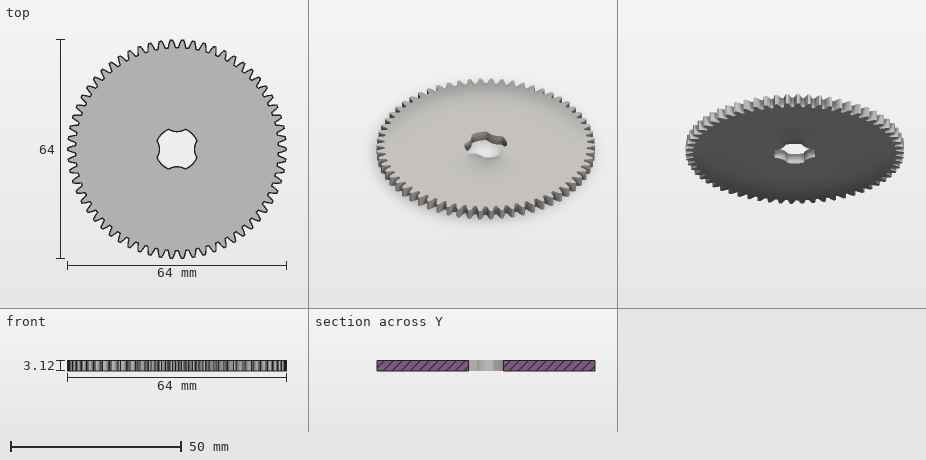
import cadquery as cq
import math

TOOTH_COUNT = 62
MODULE = 1.0
PRESSURE_ANGLE = math.radians(20)
THICKNESS = 3.12
BACKLASH = 0.05
DEDENDUM = 1.25 * MODULE

PITCH_RADIUS = MODULE * TOOTH_COUNT / 2
TIP_RADIUS = PITCH_RADIUS + MODULE
ROOT_RADIUS = PITCH_RADIUS - DEDENDUM
BASE_RADIUS = PITCH_RADIUS * math.cos(PRESSURE_ANGLE)
TOOTH_PITCH_ANGLE = 2 * math.pi / TOOTH_COUNT

BULGE_COUNT = 4
BORE_RADIUS = 6.3
BULGE_CLEARANCE = 5.1
BULGE_RADIUS = 4.5


def polar(radius, angle):
    """Point at the given radius and angle about the gear axis."""
    return (radius * math.cos(angle), radius * math.sin(angle))


def involute(angle):
    """Involute function of a pressure angle."""
    return math.tan(angle) - angle


def half_tooth_angle(radius):
    """Half the angle that a tooth spans at the given radius."""
    half_at_pitch = (math.pi * MODULE / 2 - BACKLASH) / 2 / PITCH_RADIUS
    angle = math.acos(BASE_RADIUS / radius)
    return half_at_pitch + involute(PRESSURE_ANGLE) - involute(angle)


def make_gear_blank():
    """Toothed disc with one tooth centred on +X; each flank is an arc through three involute points."""
    root_half = half_tooth_angle(ROOT_RADIUS)
    pitch_half = half_tooth_angle(PITCH_RADIUS)
    tip_half = half_tooth_angle(TIP_RADIUS)

    outline = cq.Workplane("XY").moveTo(*polar(ROOT_RADIUS, -root_half))
    for tooth in range(TOOTH_COUNT):
        centre = tooth * TOOTH_PITCH_ANGLE
        gap_centre = centre + TOOTH_PITCH_ANGLE / 2
        next_root = centre + TOOTH_PITCH_ANGLE - root_half
        outline = (
            outline.threePointArc(
                polar(PITCH_RADIUS, centre - pitch_half),
                polar(TIP_RADIUS, centre - tip_half),
            )
            .threePointArc(polar(TIP_RADIUS, centre), polar(TIP_RADIUS, centre + tip_half))
            .threePointArc(
                polar(PITCH_RADIUS, centre + pitch_half),
                polar(ROOT_RADIUS, centre + root_half),
            )
            .threePointArc(polar(ROOT_RADIUS, gap_centre), polar(ROOT_RADIUS, next_root))
        )
    return outline.close().extrude(THICKNESS)


def make_hole_cutter():
    """Round bore with a convex bulge left standing on each axis direction."""
    bore = cq.Workplane("XY").circle(BORE_RADIUS).extrude(THICKNESS)
    bulges = (
        cq.Workplane("XY")
        .polarArray(BULGE_CLEARANCE + BULGE_RADIUS, 0, 360, BULGE_COUNT)
        .circle(BULGE_RADIUS)
        .extrude(THICKNESS)
    )
    return bore.cut(bulges)


result = make_gear_blank().cut(make_hole_cutter())